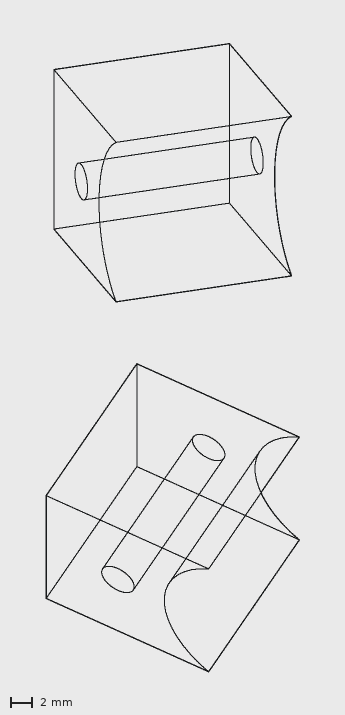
import cadquery as cq

length = 16.97
width = 17.0
height = 16.0

hole_diameter = 3.4
hole_from_back = 7.5

saddle_depth = 4.64


def saddle_block():
    """Block along Y whose +X end is hollowed by a circular arc meeting both corners."""
    half_height = height / 2
    return (
        cq.Workplane("XZ")
        .moveTo(0, -half_height)
        .lineTo(length, -half_height)
        .threePointArc((length - saddle_depth, 0), (length, half_height))
        .lineTo(0, half_height)
        .close()
        .extrude(width / 2, both=True)
    )


def cross_hole():
    """Cylinder removed along Y at mid height."""
    return (
        cq.Workplane("XZ")
        .center(hole_from_back, 0)
        .circle(hole_diameter / 2)
        .extrude(width / 2, both=True)
    )


result = saddle_block().cut(cross_hole())